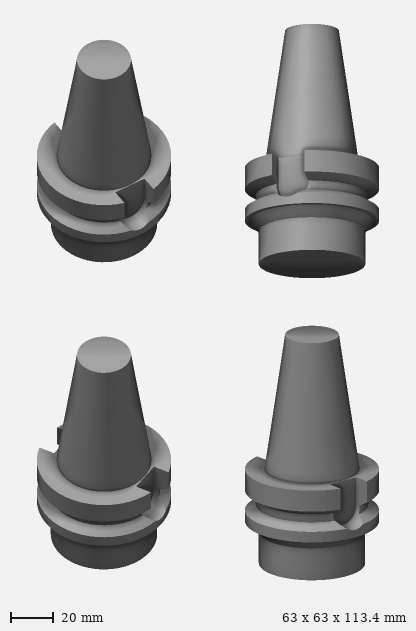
import cadquery as cq
import math

total_height = 113.4
nose_height = 15.9
flange_bottom = 21.0
groove_center = 31.3
flange_top = 46.7
taper_bottom = 47.7

flange_diameter = 63.0
flange_cone_diameter = 58.3
nose_diameter = 50.0
groove_diameter = 52.8
taper_diameter = 44.5

taper_ratio = 7 / 24

groove_floor_width = 4.1
groove_wall_angle = 30.0

slot_width = 16.2
slot_bottom = 24.7
slot_floor_offset = 22.5


def make_body():
    """Revolve the nose, grooved flange and tapered shank about Z."""
    flange_radius = flange_diameter / 2
    nose_radius = nose_diameter / 2
    groove_radius = groove_diameter / 2
    taper_radius = taper_diameter / 2
    tip_radius = taper_radius - (total_height - taper_bottom) * taper_ratio / 2

    floor_half = groove_floor_width / 2
    wall_rise = (flange_radius - groove_radius) * math.tan(math.radians(groove_wall_angle))
    mouth_half = floor_half + wall_rise

    profile = [
        (0, 0),
        (nose_radius, 0),
        (nose_radius, nose_height),
        (flange_cone_diameter / 2, flange_bottom),
        (flange_radius, flange_bottom),
        (flange_radius, groove_center - mouth_half),
        (groove_radius, groove_center - floor_half),
        (groove_radius, groove_center + floor_half),
        (flange_radius, groove_center + mouth_half),
        (flange_radius, flange_top),
        (taper_radius, flange_top),
        (taper_radius, taper_bottom),
        (tip_radius, total_height),
        (0, total_height),
    ]
    return cq.Workplane("XZ").polyline(profile).close().revolve(360, (0, 0), (0, 1))


def make_slot(side):
    """Round-bottomed cutter, open at the flange top; side is -1 or +1 along X."""
    half_width = slot_width / 2
    arc_center = slot_bottom + half_width
    return (
        cq.Workplane("YZ", origin=(side * slot_floor_offset, 0, 0))
        .moveTo(-half_width, flange_top)
        .lineTo(-half_width, arc_center)
        .threePointArc((0, slot_bottom), (half_width, arc_center))
        .lineTo(half_width, flange_top)
        .close()
        .extrude(side * flange_diameter / 2)
    )


result = make_body()
for side in (-1, 1):
    result = result.cut(make_slot(side))